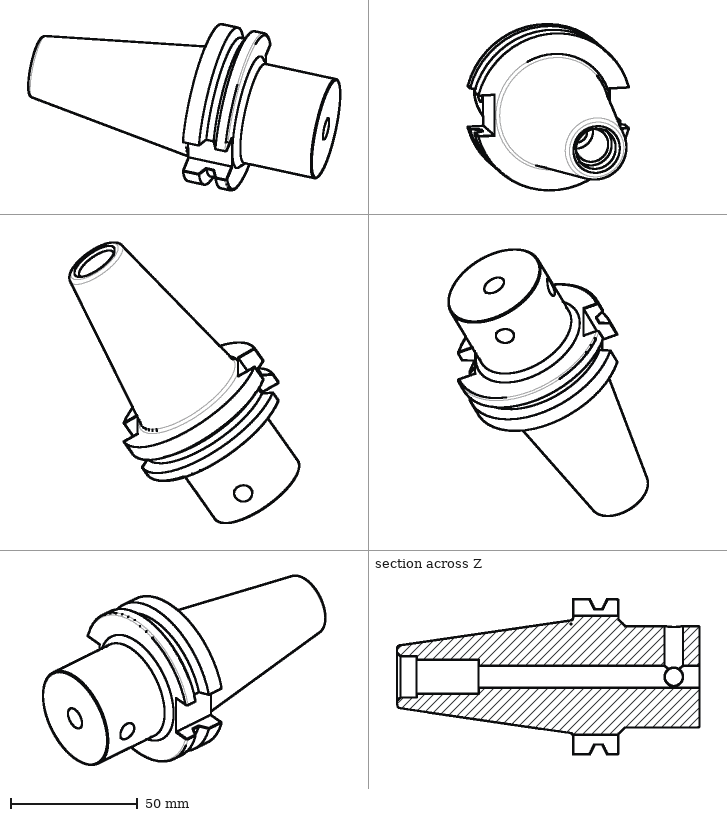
import cadquery as cq

LENGTH = 119.1

GAUGE_RADIUS = 22.22
TAPER_SLOPE = 7 / 48
TAPER_END_ROUND = 1.4

FLANGE_RADIUS = 31.7
FLANGE_START = 69.3
ROOT_FILLET = 1.2
FLANGE_END = 87.3
FLANGE_ROUND = 0.7
GROOVE_RADIUS = 28.0
GROOVE_CENTRE_X = 79.3
GROOVE_WIDTH = 6.8
GROOVE_FLOOR_WIDTH = 3.0

GAUGE_X = FLANGE_START - ROOT_FILLET

SLOT_WIDTH = 16.2
SLOT_CHAMFER = 0.2
DRIVE_SLOTS = ((-1, 22.9), (1, 24.1))

SHANK_RADIUS = 20.0
SHANK_CONE = 2.5
SHANK_CHAMFER = 0.4

MOUTH_RADIUS = 9.4
COUNTERBORE_RADIUS = 8.1
COUNTERBORE_DEPTH = 7.7
STUD_BORE_RADIUS = 6.7
STUD_BORE_DEPTH = 32.2
COOLANT_RADIUS = 4.3

TOLERANCE = 0.001

SCREW_DIAMETER = 7.1
SCREW_X = 109.0


def revolve_about_x(profile):
    return profile.close().revolve(360, (0, 0, 0), (1, 0, 0))


def make_taper():
    start_radius = GAUGE_RADIUS - GAUGE_X * TAPER_SLOPE
    profile = (
        cq.Workplane("XY")
        .lineTo(0, start_radius)
        .lineTo(GAUGE_X, GAUGE_RADIUS)
        .radiusArc((FLANGE_START, GAUGE_RADIUS + ROOT_FILLET), -ROOT_FILLET)
        .lineTo(FLANGE_START, 0)
    )
    return revolve_about_x(profile).faces("<X").edges().fillet(TAPER_END_ROUND)


def make_drive_slot(side, floor):
    length = FLANGE_END - GAUGE_X
    slot = cq.Workplane("XY").box(length, FLANGE_RADIUS, SLOT_WIDTH)
    return slot.translate((GAUGE_X + length / 2, side * (floor + FLANGE_RADIUS / 2), 0))


class WallRimSelector(cq.Selector):
    """Edges of the slot walls, without the inner corners along the slot floors."""

    def filter(self, edges):
        return [edge for edge in edges if self.is_rim(edge)]

    @staticmethod
    def is_rim(edge):
        box = edge.BoundingBox()
        on_wall = box.zlen < TOLERANCE and abs(abs(box.center.z) - SLOT_WIDTH / 2) < TOLERANCE
        floors = [side * floor for side, floor in DRIVE_SLOTS]
        on_floor = box.ylen < TOLERANCE and any(abs(box.center.y - y) < TOLERANCE for y in floors)
        return on_wall and not on_floor


def make_flange():
    half_top = GROOVE_WIDTH / 2
    half_floor = GROOVE_FLOOR_WIDTH / 2
    profile = (
        cq.Workplane("XY")
        .moveTo(FLANGE_START, 0)
        .lineTo(FLANGE_START, FLANGE_RADIUS)
        .lineTo(GROOVE_CENTRE_X - half_top, FLANGE_RADIUS)
        .lineTo(GROOVE_CENTRE_X - half_floor, GROOVE_RADIUS)
        .lineTo(GROOVE_CENTRE_X + half_floor, GROOVE_RADIUS)
        .lineTo(GROOVE_CENTRE_X + half_top, FLANGE_RADIUS)
        .lineTo(FLANGE_END, FLANGE_RADIUS)
        .lineTo(FLANGE_END, 0)
    )
    flange = revolve_about_x(profile).faces(">X").edges().fillet(FLANGE_ROUND)
    for side, floor in DRIVE_SLOTS:
        flange = flange.cut(make_drive_slot(side, floor))
    return flange.edges(WallRimSelector()).chamfer(SLOT_CHAMFER)


def make_shank():
    profile = (
        cq.Workplane("XY")
        .moveTo(FLANGE_END, 0)
        .lineTo(FLANGE_END, SHANK_RADIUS + SHANK_CONE)
        .lineTo(FLANGE_END + SHANK_CONE, SHANK_RADIUS)
        .lineTo(LENGTH, SHANK_RADIUS)
        .lineTo(LENGTH, 0)
    )
    return revolve_about_x(profile).faces(">X").edges().chamfer(SHANK_CHAMFER)


def make_bore():
    profile = (
        cq.Workplane("XY")
        .lineTo(0, MOUTH_RADIUS)
        .lineTo(MOUTH_RADIUS - COUNTERBORE_RADIUS, COUNTERBORE_RADIUS)
        .lineTo(COUNTERBORE_DEPTH, COUNTERBORE_RADIUS)
        .lineTo(COUNTERBORE_DEPTH, STUD_BORE_RADIUS)
        .lineTo(STUD_BORE_DEPTH, STUD_BORE_RADIUS)
        .lineTo(STUD_BORE_DEPTH, COOLANT_RADIUS)
        .lineTo(LENGTH, COOLANT_RADIUS)
        .lineTo(LENGTH, 0)
    )
    return revolve_about_x(profile)


def make_screw_hole(direction):
    start = cq.Vector(SCREW_X, 0, 0)
    return cq.Workplane(cq.Solid.makeCylinder(SCREW_DIAMETER / 2, LENGTH / 2, start, direction))


result = make_taper().union(make_flange()).union(make_shank()).cut(make_bore())
for side, floor in DRIVE_SLOTS:
    result = result.cut(make_drive_slot(side, floor))
for direction in (cq.Vector(0, 1, 0), cq.Vector(0, 0, -1)):
    result = result.cut(make_screw_hole(direction))